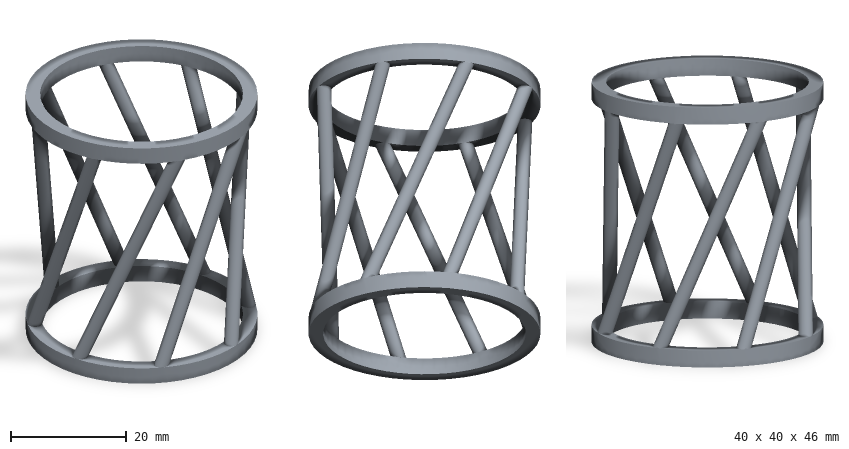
import cadquery as cq
import math

outer_diameter = 40.0
inner_diameter = 35.0
total_height = 46.0
ring_height = 3.0
rod_count = 8
rod_twist = 54.0

wall = (outer_diameter - inner_diameter) / 2
rod_diameter = wall
rod_circle_radius = (outer_diameter + inner_diameter) / 4
rod_bottom_z = ring_height
rod_top_z = total_height - ring_height
rod_overrun = 1.4


def make_ring(base_z):
    return (
        cq.Workplane("XY")
        .workplane(offset=base_z)
        .circle(outer_diameter / 2)
        .circle(inner_diameter / 2)
        .extrude(ring_height)
    )


def point_on_rod_circle(angle_degrees, z):
    angle = math.radians(angle_degrees)
    return cq.Vector(rod_circle_radius * math.cos(angle), rod_circle_radius * math.sin(angle), z)


def make_rod(start_angle):
    """Straight round rod leaning from the lower ring to the upper one."""
    start = point_on_rod_circle(start_angle, rod_bottom_z)
    end = point_on_rod_circle(start_angle + rod_twist, rod_top_z)
    direction = (end - start).normalized()
    length = (end - start).Length + 2 * rod_overrun
    return cq.Solid.makeCylinder(rod_diameter / 2, length, start - direction * rod_overrun, direction)


rod_envelope = (
    cq.Workplane("XY")
    .workplane(offset=rod_bottom_z)
    .circle(outer_diameter / 2)
    .extrude(rod_top_z - rod_bottom_z)
)

result = make_ring(0).union(make_ring(rod_top_z))
for index in range(rod_count):
    rod = rod_envelope.intersect(cq.Workplane(make_rod(index * 360 / rod_count)))
    result = result.union(rod)